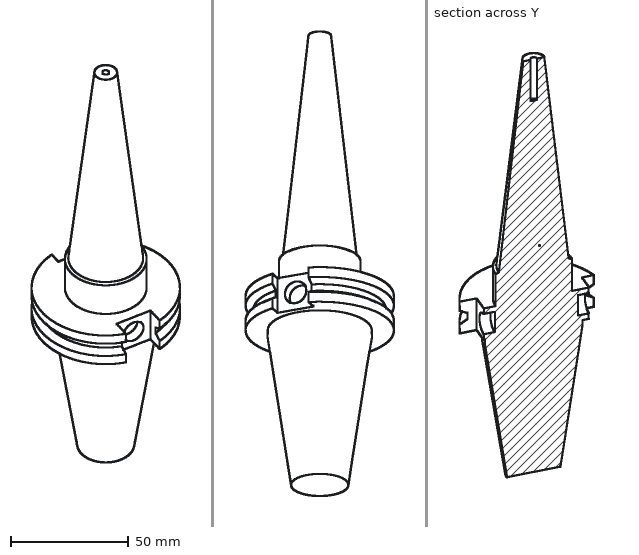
import cadquery as cq
import math

total_length = 208.0
shank_length = 68.5
gauge_band_height = 3.1
flange_height = 16.0
sleeve_height = 16.0

gauge_diameter = 44.5
shank_taper = 7 / 24
flange_diameter = 63.5
sleeve_diameter = 35.0
nose_tip_diameter = 9.8

sleeve_chamfer_width = 1.5
sleeve_chamfer_height = 0.6

groove_diameter = 56.8
groove_width = 6.9
groove_wall_angle = 30.0

drive_slot_width = 16.8
shallow_slot_floor_x = -25.2
deep_slot_floor_x = 22.9
drive_hole_diameter = 10.0
drive_hole_depth = 5.0

nose_bore_diameter = 3.0
nose_bore_depth = 20.8

flange_bottom = shank_length + gauge_band_height
flange_top = flange_bottom + flange_height
flange_middle = (flange_bottom + flange_top) / 2
sleeve_top = flange_top + sleeve_height


def revolved_body():
    """Shank, flange, sleeve and nose as one profile turned about Z."""
    shank_end_radius = (gauge_diameter - shank_length * shank_taper) / 2
    gauge_radius = gauge_diameter / 2
    flange_radius = flange_diameter / 2
    sleeve_radius = sleeve_diameter / 2
    profile = [
        (0, 0),
        (shank_end_radius, 0),
        (gauge_radius, shank_length),
        (gauge_radius, flange_bottom),
        (flange_radius, flange_bottom),
        (flange_radius, flange_top),
        (sleeve_radius, flange_top),
        (sleeve_radius, sleeve_top),
        (sleeve_radius - sleeve_chamfer_width, sleeve_top + sleeve_chamfer_height),
        (nose_tip_diameter / 2, total_length),
        (0, total_length),
    ]
    return cq.Workplane("XZ").polyline(profile).close().revolve(360, (0, 0), (0, 1))


def gripper_groove():
    """Ring with a trapezoidal section, centred on the flange height."""
    floor_radius = groove_diameter / 2
    rim_radius = flange_diameter / 2
    wall_rise = (rim_radius - floor_radius) * math.tan(math.radians(groove_wall_angle))
    half_rim = groove_width / 2
    half_floor = half_rim - wall_rise
    section = [
        (rim_radius, flange_middle - half_rim),
        (floor_radius, flange_middle - half_floor),
        (floor_radius, flange_middle + half_floor),
        (rim_radius, flange_middle + half_rim),
    ]
    return cq.Workplane("XZ").polyline(section).close().revolve(360, (0, 0), (0, 1))


def drive_slot(floor_x):
    """Slot through the flange rim with its floor hole; the sign of floor_x gives the side."""
    side = math.copysign(1, floor_x)
    slot_depth = flange_diameter / 2 - abs(floor_x)
    slot = cq.Workplane("XY").box(slot_depth, drive_slot_width, flange_height)
    slot = slot.translate((floor_x + side * slot_depth / 2, 0, flange_middle))
    hole = (
        cq.Workplane("YZ", origin=(floor_x, 0, flange_middle))
        .circle(drive_hole_diameter / 2)
        .extrude(-side * drive_hole_depth)
    )
    return slot.union(hole)


def nose_bore():
    return (
        cq.Workplane("XY", origin=(0, 0, total_length))
        .circle(nose_bore_diameter / 2)
        .extrude(-nose_bore_depth)
    )


result = revolved_body().cut(gripper_groove()).cut(nose_bore())
for slot_floor_x in (shallow_slot_floor_x, deep_slot_floor_x):
    result = result.cut(drive_slot(slot_floor_x))